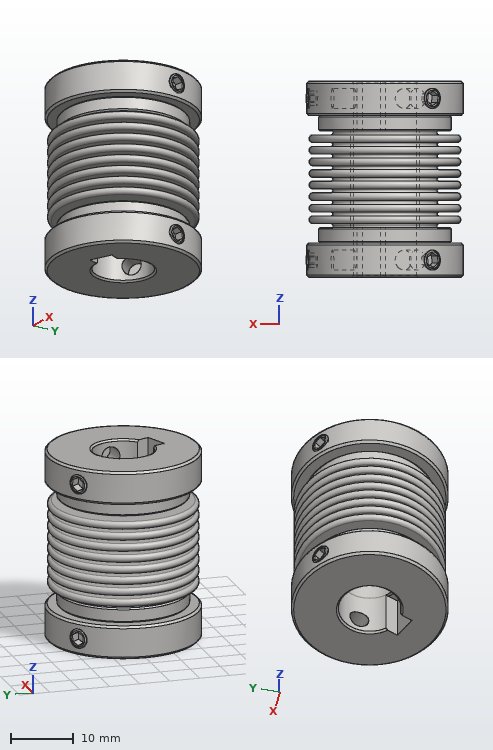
import cadquery as cq
import math

length = 31.25

flange_radius = 12.5
flange_height = 5.5
flange_chamfer = 0.38
collar_radius = 10.6
collar_height = 2.45
collar_chamfer = 0.25

bore_radius = 5.0
bore_chamfer = 0.3
keyway_width = 4.0
keyway_floor = 6.8
keyway_angle = -67.5

screw_angles = (7.5, 127.5)
screw_radius = 1.6
screw_length = 4.05
screw_chamfer = 0.28
socket_corner_radius = 1.15
socket_depth = 1.55
socket_turn = 25.0

tube_radius = 5.47

fin_count = 8
fin_pitch = 1.85
fin_thickness = 1.25
crest_radius = 12.1
valley_radius = 8.3

hub_height = flange_height + collar_height
hub_inner_z = length / 2 - hub_height
flange_inner_z = length / 2 - flange_height
screw_z = length / 2 - flange_height / 2


def cylinder(radius, bottom_z, top_z):
    return cq.Workplane("XY").workplane(offset=bottom_z).circle(radius).extrude(top_z - bottom_z)


def hub_blank():
    """Chamfered flange and collar of the upper hub."""
    flange = cylinder(flange_radius, flange_inner_z, length / 2).edges().chamfer(flange_chamfer)
    collar = cylinder(collar_radius, hub_inner_z, flange_inner_z).edges().chamfer(collar_chamfer)
    return flange.union(collar)


def bore_cutter():
    """Bore through the upper hub, widening to a chamfer at the end face."""
    mouth_radius = bore_radius + bore_chamfer
    outline = [
        (0, hub_inner_z),
        (bore_radius, hub_inner_z),
        (bore_radius, length / 2 - bore_chamfer),
        (mouth_radius, length / 2),
        (0, length / 2),
    ]
    return cq.Workplane("XZ").polyline(outline).close().revolve(360, (0, 0, 0), (0, 1, 0))


def keyway_cutter():
    """Rectangular keyway along the whole upper hub."""
    return (
        cq.Workplane("XY")
        .workplane(offset=hub_inner_z)
        .center(keyway_floor / 2, 0)
        .rect(keyway_floor, keyway_width)
        .extrude(hub_height)
        .rotate((0, 0, 0), (0, 0, 1), keyway_angle)
    )


def placed_in_flange(shape, angle):
    """Lift a shape that lies along +X to the screw height and turn it about the shaft axis."""
    return shape.translate((0, 0, screw_z)).rotate((0, 0, 0), (0, 0, 1), angle)


def screw_hole(angle):
    """Radial hole from the shaft axis out through the flange."""
    hole = cq.Workplane("YZ").circle(screw_radius).extrude(flange_radius)
    return placed_in_flange(hole, angle)


def set_screw(angle):
    """Chamfered set screw with a hexagon socket, its end level with the flange rim."""
    shank = (
        cq.Workplane("YZ")
        .workplane(offset=flange_radius - screw_length)
        .circle(screw_radius)
        .extrude(screw_length)
        .faces(">X")
        .chamfer(screw_chamfer)
    )
    socket = (
        cq.Workplane("YZ")
        .workplane(offset=flange_radius - socket_depth)
        .polygon(6, 2 * socket_corner_radius)
        .extrude(socket_depth)
        .rotate((0, 0, 0), (1, 0, 0), socket_turn)
    )
    return placed_in_flange(shank.cut(socket), angle)


def make_hub():
    """Upper hub with its bore, keyway and set screws."""
    hub = hub_blank().cut(bore_cutter()).cut(keyway_cutter())
    for angle in screw_angles:
        hub = hub.cut(screw_hole(angle))
        hub = hub.union(set_screw(angle))
    return hub


def make_spool():
    """Two mirrored hubs joined by the thin tube."""
    upper_hub = make_hub()
    tube = cylinder(tube_radius, -hub_inner_z, hub_inner_z).cut(
        cylinder(bore_radius, -hub_inner_z, hub_inner_z)
    )
    return tube.union(upper_hub).union(upper_hub.mirror("XY"))


def make_bellows():
    """Ring around the tube with evenly spaced round-edged fins."""
    tip_radius = fin_thickness / 2
    root_radius = (fin_pitch - fin_thickness) / 2
    tip_start = crest_radius - tip_radius
    root_start = valley_radius + root_radius
    first_fin_z = -fin_pitch * (fin_count - 1) / 2
    quarter = math.sqrt(0.5)

    profile = cq.Workplane("XZ").moveTo(tube_radius, -hub_inner_z).lineTo(valley_radius, -hub_inner_z)
    for index in range(fin_count):
        fin_z = first_fin_z + index * fin_pitch
        bottom = fin_z - tip_radius
        top = fin_z + tip_radius
        arc_side = root_start - root_radius * quarter
        arc_offset = root_radius * (1 - quarter)
        if index == 0:
            profile = profile.lineTo(valley_radius, bottom - root_radius)
        profile = (
            profile.threePointArc((arc_side, bottom - arc_offset), (root_start, bottom))
            .lineTo(tip_start, bottom)
            .threePointArc((crest_radius, fin_z), (tip_start, top))
            .lineTo(root_start, top)
            .threePointArc((arc_side, top + arc_offset), (valley_radius, top + root_radius))
        )
    profile = profile.lineTo(valley_radius, hub_inner_z).lineTo(tube_radius, hub_inner_z).close()
    return profile.revolve(360, (0, 0, 0), (0, 1, 0))


spool = make_spool()
bellows = make_bellows()

result = cq.Compound.makeCompound([spool.val(), bellows.val()])